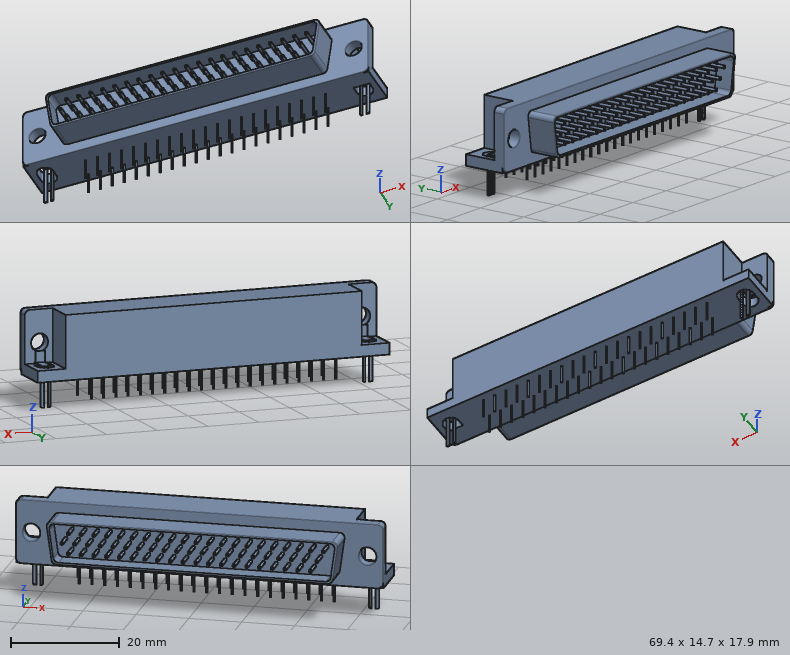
import cadquery as cq
import math

width = 69.4
height = 12.35
plate_thickness = 0.4
flange_depth = 2.3
body_depth = 8.9
body_width = 58.45
ledge_height = 2.2
corner_radius = 1.0
edge_rounding = 0.1

screw_spacing = 63.6
screw_diameter = 3.3
mid_height = 6.1

shell_reach = 5.8
shell_width = 55.25
shell_height = 8.2
shell_middle = 6.2
shell_wall = 0.4
shell_slant = 8.0
shell_radius = 1.0
insulator_reach = 2.1

contact_diameter = 0.6
contact_reach = 5.55
contact_span = 49.4
row_spacing = 1.95
half_steps = 41
half_pitch = contact_span / half_steps
contacts_top = 21
contacts_middle = 21
contacts_bottom = 20

tail_diameter = 0.3
tail_length = 4.1
tail_front_y = 3.3
tail_back_y = 7.3

slot_width = 3.2
slot_front = 2.1
slot_back = 6.8
short_slot_front = 3.75
strap_width = 1.95
strap_thickness = 0.2
strap_gap = 0.2
strap_top = 4.6
lock_back = 5.4
lock_length = 5.55
leg_outer_width = 0.7
leg_inner_width = 0.5
tip_chamfer = 0.2


def box(x0, x1, y0, y1, z0, z1):
    """Box between two opposite corners."""
    return cq.Workplane("XY").box(x1 - x0, y1 - y0, z1 - z0, centered=False).translate((x0, y0, z0))


def along_y(x, z, y):
    """Workplane facing -Y with its origin at the given point."""
    return cq.Workplane("XZ", origin=(x, y, z))


def housing():
    """Face plate, flange, full-height body and the ledges beside it."""
    half = width / 2
    plate = box(-half, half, 0, plate_thickness, 0, height).edges("|Y").fillet(corner_radius)
    plate = plate.faces("<Y").edges().fillet(edge_rounding)
    flange = box(-half, half, plate_thickness, flange_depth, 0, height)
    flange = flange.edges("|Y and >Z").fillet(corner_radius)
    body = box(-body_width / 2, body_width / 2, plate_thickness, body_depth, 0, height)
    ledge = box(-half, half, plate_thickness, body_depth, 0, ledge_height)
    return plate.union(flange).union(body).union(ledge)


def screw_hole(x):
    """Through hole in the flange with a rounded front mouth."""
    radius = screw_diameter / 2
    mouth_radius = radius + edge_rounding
    mouth_corner = edge_rounding * (1 - math.sqrt(0.5))
    profile = (
        cq.Workplane("XY")
        .moveTo(0, 0)
        .lineTo(mouth_radius, 0)
        .threePointArc((radius + mouth_corner, mouth_corner), (radius, edge_rounding))
        .lineTo(radius, flange_depth)
        .lineTo(0, flange_depth)
        .close()
    )
    return profile.revolve(360, (0, 0, 0), (0, 1, 0)).translate((x, 0, mid_height))


def d_prism(inset, y_front, y_back):
    """D-shaped prism along Y, the shell outline moved inwards by inset."""
    angle = math.radians(shell_slant)
    half_height = shell_height / 2 - inset
    mid_half_width = (shell_width - shell_height * math.tan(angle)) / 2 - inset / math.cos(angle)
    lean = half_height * math.tan(angle)
    top = mid_half_width + lean
    bottom = mid_half_width - lean
    return (
        along_y(0, shell_middle, y_front)
        .polyline([(-top, half_height), (top, half_height), (bottom, -half_height), (-bottom, -half_height)])
        .close()
        .extrude(y_front - y_back)
        .edges("|Y")
        .fillet(shell_radius)
    )


def shell():
    """D-shaped shell with a rounded outer rim, open down to the insulator."""
    outer = d_prism(0, -shell_reach, plate_thickness).faces("<Y").edges().fillet(edge_rounding)
    return outer.cut(d_prism(shell_wall, -shell_reach, -insulator_reach))


def contact_x(half_step):
    """X of a contact counted in half pitches from the leftmost one."""
    return (half_step - half_steps / 2) * half_pitch


def contact_row(z, count, first_half_step):
    """Pins with conical tips, starting inside the insulator."""
    points = [(contact_x(first_half_step + 2 * i), 0) for i in range(count)]
    pins = along_y(0, z, 0).pushPoints(points).circle(contact_diameter / 2).extrude(contact_reach)
    return pins.faces("<Y").chamfer(contact_diameter / 4)


def solder_tails():
    """Round tails below the housing, alternating between the back and front rows."""
    points = [(contact_x(i), tail_front_y if i % 2 else tail_back_y) for i in range(half_steps + 1)]
    return cq.Workplane("XY").pushPoints(points).circle(tail_diameter / 2).extrude(-tail_length)


def lock_slot(x, flat_front):
    """Round-ended slot through a ledge; flat_front trims its front end square."""
    slot = (
        cq.Workplane("XY")
        .center(x, (slot_front + slot_back) / 2)
        .slot2D(slot_back - slot_front, slot_width, 90)
        .extrude(ledge_height)
    )
    if flat_front:
        slot = slot.intersect(box(0, width, short_slot_front, body_depth, 0, ledge_height))
    return slot


def board_lock(x, side):
    """Strap standing behind the flange, lying on the ledge and bent down into two legs."""
    half = strap_width / 2
    front = flange_depth + strap_gap
    lying_top = ledge_height + strap_thickness
    legs_front = lock_back - strap_thickness
    sheet = (
        cq.Workplane("YZ", origin=(x - half, 0, 0))
        .moveTo(flange_depth, ledge_height)
        .lineTo(flange_depth, lying_top)
        .lineTo(front, lying_top)
        .lineTo(front, strap_top)
        .lineTo(front + strap_thickness, strap_top)
        .lineTo(front + strap_thickness, lying_top)
        .lineTo(legs_front, lying_top)
        .radiusArc((lock_back, ledge_height), strap_thickness)
        .lineTo(lock_back, -lock_length)
        .lineTo(legs_front, -lock_length)
        .lineTo(legs_front, ledge_height)
        .close()
        .extrude(strap_width)
    )
    sheet = sheet.faces("<Z").edges("|Y").chamfer(tip_chamfer)
    gap_ends = sorted((x + side * (half - leg_outer_width), x - side * (half - leg_inner_width)))
    return sheet.cut(box(gap_ends[0], gap_ends[1], legs_front, lock_back, -lock_length, ledge_height))


result = housing().union(shell())
for side in (-1, 1):
    hole_x = side * screw_spacing / 2
    result = result.cut(screw_hole(hole_x)).cut(lock_slot(hole_x, side > 0))
    result = result.union(board_lock(hole_x, side))
result = result.union(contact_row(mid_height + row_spacing, contacts_top, 1))
result = result.union(contact_row(mid_height, contacts_middle, 0))
result = result.union(contact_row(mid_height - row_spacing, contacts_bottom, 1))
result = result.union(solder_tails())